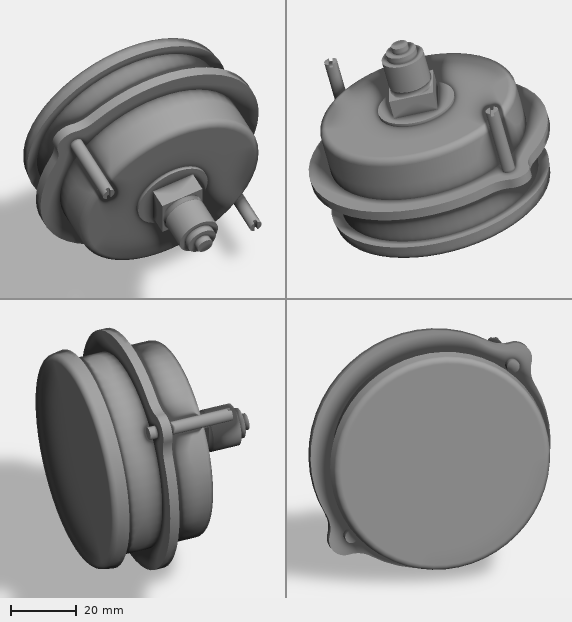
import cadquery as cq
import math

RIM_FILLET_END = 1.6
RIM_BACK = 5.0
FLANGE_FRONT = 17.0
FLANGE_BACK = 20.0
PIN_FRONT = 14.5
BODY_BACK = 34.3
DISC_BACK = 35.4
BLOCK_BACK = 41.55
GROOVE_BACK = 43.3
COLLAR_BACK = 52.4
STEP_BACK = 54.5
TIP_BACK = 56.5

FACE_RADIUS = 31.85
RIM_SHOULDER_RADIUS = 33.8
RIM_RADIUS = 34.3
BODY_DIAMETER = 61.8
BODY_FILLET = 2.1

FLANGE_RADIUS = 37.6
EAR_OFFSET = 26.8
EAR_RADIUS = 5.05
EAR_BLEND_RADIUS = 9.0

PIN_DIAMETER = 4.0
PIN_OFFSET = 25.4
SLOT_WIDTH = 1.1
SLOT_DEPTH = 1.05

DISC_DIAMETER = 24.0
BLOCK_SIDE = 13.8
GROOVE_DIAMETER = 12.35
COLLAR_DIAMETER = 13.2
STEP_DIAMETER = 9.5
TIP_DIAMETER = 5.2


def plane_at(x):
    """Section plane facing +X, with local x along Y and local y along Z."""
    return cq.Workplane("YZ", origin=(x, 0, 0))


def cylinder(diameter, start, end):
    return plane_at(start).circle(diameter / 2).extrude(end - start)


def polar(radius, angle):
    return radius * math.cos(angle), radius * math.sin(angle)


def make_rim():
    """Front bezel: flat face, rounded edge, then a slightly flaring side."""
    return (
        cq.Workplane("XY")
        .moveTo(0, 0)
        .lineTo(RIM_BACK, 0)
        .lineTo(RIM_BACK, RIM_RADIUS)
        .lineTo(RIM_FILLET_END, RIM_SHOULDER_RADIUS)
        .tangentArcPoint((0, FACE_RADIUS), relative=False)
        .close()
        .revolve(360, (0, 0, 0), (1, 0, 0))
    )


def make_body():
    body = cylinder(BODY_DIAMETER, RIM_BACK, BODY_BACK)
    return body.faces(">X").edges().fillet(BODY_FILLET)


def make_ear():
    """Rounded ear toward +Y +Z, blended into the flange by two concave arcs."""
    diagonal = math.pi / 4
    ear_distance = math.hypot(EAR_OFFSET, EAR_OFFSET)
    blend_distance = FLANGE_RADIUS + EAR_BLEND_RADIUS
    centre_gap = EAR_RADIUS + EAR_BLEND_RADIUS
    blend_angle = math.acos(
        (blend_distance**2 + ear_distance**2 - centre_gap**2) / (2 * blend_distance * ear_distance)
    )

    def blend_points(side):
        """Flange tangency, blend midpoint and ear tangency on one side of the diagonal."""
        angle = diagonal + side * blend_angle
        centre = polar(blend_distance, angle)
        flange_end = polar(FLANGE_RADIUS, angle)
        share = EAR_BLEND_RADIUS / centre_gap
        ear_end = tuple(c + share * (EAR_OFFSET - c) for c in centre)
        chord_y = (flange_end[0] + ear_end[0]) / 2 - centre[0]
        chord_z = (flange_end[1] + ear_end[1]) / 2 - centre[1]
        dy, dz = polar(EAR_BLEND_RADIUS, math.atan2(chord_z, chord_y))
        return flange_end, (centre[0] + dy, centre[1] + dz), ear_end

    low_flange, low_middle, low_ear = blend_points(-1)
    high_flange, high_middle, high_ear = blend_points(1)
    return (
        plane_at(FLANGE_FRONT)
        .moveTo(0, 0)
        .lineTo(*low_flange)
        .threePointArc(low_middle, low_ear)
        .threePointArc(polar(ear_distance + EAR_RADIUS, diagonal), high_ear)
        .threePointArc(high_middle, high_flange)
        .close()
        .extrude(FLANGE_BACK - FLANGE_FRONT)
    )


def make_pin():
    """Pin through the +Y +Z ear, with a screwdriver slot along Y in its rear end."""
    pin = cylinder(PIN_DIAMETER, PIN_FRONT, BLOCK_BACK)
    slot = plane_at(BLOCK_BACK).rect(PIN_DIAMETER, SLOT_WIDTH).extrude(-SLOT_DEPTH)
    return pin.cut(slot).translate((0, PIN_OFFSET, PIN_OFFSET))


def make_groove():
    """Neck with a concave side between the square block and the collar."""
    middle = (BLOCK_BACK + GROOVE_BACK) / 2
    return (
        cq.Workplane("XY")
        .moveTo(BLOCK_BACK, 0)
        .lineTo(BLOCK_BACK, COLLAR_DIAMETER / 2)
        .threePointArc((middle, GROOVE_DIAMETER / 2), (GROOVE_BACK, COLLAR_DIAMETER / 2))
        .lineTo(GROOVE_BACK, 0)
        .close()
        .revolve(360, (0, 0, 0), (1, 0, 0))
    )


def make_connector():
    """Mounting disc, square block and the stepped round end."""
    block = plane_at(DISC_BACK).rect(BLOCK_SIDE, BLOCK_SIDE).extrude(BLOCK_BACK - DISC_BACK)
    return (
        cylinder(DISC_DIAMETER, BODY_BACK, DISC_BACK)
        .union(block)
        .union(make_groove())
        .union(cylinder(COLLAR_DIAMETER, GROOVE_BACK, COLLAR_BACK))
        .union(cylinder(STEP_DIAMETER, COLLAR_BACK, STEP_BACK))
        .union(cylinder(TIP_DIAMETER, STEP_BACK, TIP_BACK))
    )


flange = cylinder(2 * FLANGE_RADIUS, FLANGE_FRONT, FLANGE_BACK)
result = make_rim().union(make_body()).union(flange).union(make_connector())

eared_pin = make_ear().union(make_pin())
for turn in (90, 270):
    result = result.union(eared_pin.rotate((0, 0, 0), (1, 0, 0), turn))